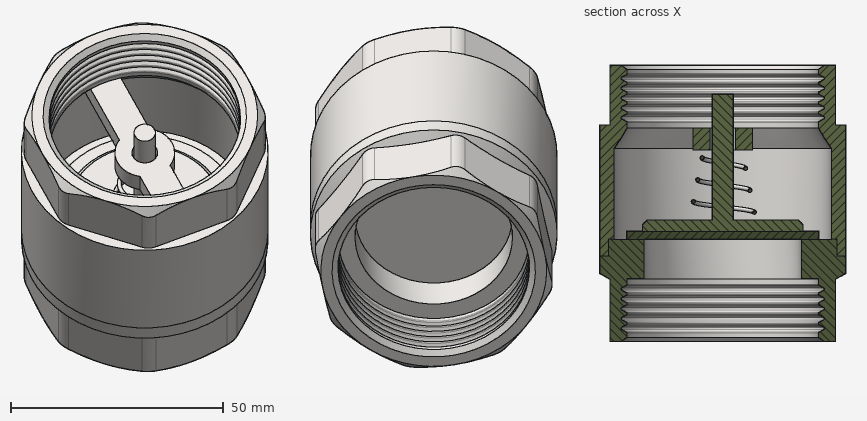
import cadquery as cq
import math


LENGTH = 65.0
BARREL_DIAMETER = 58.0

FLAT_COUNT = 8
ACROSS_FLATS = 53.05
CORNER_RADIUS = 4.35
SHOULDER_Z = 50.95
CAP_FLANGE_Z = 16.05
FLANGE_CONE_ANGLE = 30.0

THREAD_MAJOR = 47.8
THREAD_MINOR = 45.0
THREAD_FLANK_ANGLE = 27.5
THREAD_ROUND_RADIUS = 0.32
RIM_CHAMFER_DEPTH = 1.05
GROOVE_COUNT = 5
GROOVED_LENGTH = 11.6
FIRST_GROOVE_DEPTH = 3.1
PORT_DEPTH = 14.75

CHAMBER_DIAMETER = 51.1
CHAMBER_ROOF_Z = 45.4
JOINT_Z = 20.1
PLUG_DIAMETER = 53.75
SEAT_Z = 24.05
SEAT_BORE = 37.0

BAR_WIDTH = 7.8
BAR_THICKNESS = 5.2
HUB_DIAMETER = 14.05
GUIDE_HOLE = 6.0

GASKET_DIAMETER = 45.2
GASKET_THICKNESS = 1.95
PLATE_DIAMETER = 37.8
PLATE_CHAMFER = 1.1
PLATE_THICKNESS = 2.6
STEM_DIAMETER = 5.0
STEM_TOP_Z = 58.2

WIRE_DIAMETER = 1.0
SPRING_OUTER_DIAMETER = 16.4
SPRING_TURNS = 3
SPRING_GROWTH = 1.05

THREAD_PITCH = GROOVED_LENGTH / GROOVE_COUNT
PORT_END_Z = LENGTH - PORT_DEPTH
BAR_BOTTOM_Z = PORT_END_Z - BAR_THICKNESS
PLATE_Z = SEAT_Z + GASKET_THICKNESS
PLATE_TOP_Z = PLATE_Z + PLATE_THICKNESS


def cylinder(diameter, bottom, top):
    return cq.Workplane("XY", origin=(0, 0, bottom)).circle(diameter / 2).extrude(top - bottom)


def frustum(bottom_diameter, top_diameter, bottom, top):
    """Solid cone section on the valve axis."""
    outline = [(0, bottom), (bottom_diameter / 2, bottom), (top_diameter / 2, top), (0, top)]
    return cq.Workplane("XZ").polyline(outline).close().revolve(360, (0, 0), (0, 1))


def flipped(shape):
    """Turn a shape made for the top port over, to the bottom port."""
    return shape.mirror("XY").translate((0, 0, LENGTH))


def octagon_end(bottom):
    """Wrench octagon from a given height up to the top face, its corners rounded and bevelled."""
    height = LENGTH - bottom
    half_flat = ACROSS_FLATS / 2 * math.tan(math.pi / FLAT_COUNT)
    corner_circle = 2 * math.hypot(ACROSS_FLATS / 2, half_flat)
    octagon = (
        cq.Workplane("XY", origin=(0, 0, bottom))
        .polygon(FLAT_COUNT, corner_circle)
        .extrude(height)
        .rotate((0, 0, 0), (0, 0, 1), 180 / FLAT_COUNT)
        .edges("|Z")
        .fillet(CORNER_RADIUS)
    )
    return octagon.intersect(frustum(ACROSS_FLATS + 2 * height, ACROSS_FLATS, bottom, LENGTH))


def thread_groove(root_z):
    """Ring cutter for one thread groove: straight flanks, a rounded root and rounded lips."""
    minor_radius = THREAD_MINOR / 2
    major_radius = THREAD_MAJOR / 2
    flank_angle = math.radians(THREAD_FLANK_ANGLE)
    reach = THREAD_ROUND_RADIUS * math.cos(flank_angle)
    sag = THREAD_ROUND_RADIUS * (1 - math.sin(flank_angle))
    flank_height = (major_radius - minor_radius - 2 * sag) * math.tan(flank_angle)
    half_mouth = 2 * reach + flank_height
    half_turn = (math.pi / 2 - flank_angle) / 2

    def lip_middle(side):
        axial = THREAD_ROUND_RADIUS * math.sin(half_turn)
        radial = THREAD_ROUND_RADIUS * (1 - math.cos(half_turn))
        return (minor_radius + radial, root_z + side * (half_mouth - axial))

    return (
        cq.Workplane("XZ")
        .moveTo(0, root_z + half_mouth)
        .lineTo(minor_radius, root_z + half_mouth)
        .threePointArc(lip_middle(1), (minor_radius + sag, root_z + reach + flank_height))
        .lineTo(major_radius - sag, root_z + reach)
        .threePointArc((major_radius, root_z), (major_radius - sag, root_z - reach))
        .lineTo(minor_radius + sag, root_z - reach - flank_height)
        .threePointArc(lip_middle(-1), (minor_radius, root_z - half_mouth))
        .lineTo(0, root_z - half_mouth)
        .close()
        .revolve(360, (0, 0), (0, 1))
    )


def threaded_port():
    """Cutter for the top port: the bore, a rim chamfer and ring-shaped thread grooves."""
    port = cylinder(THREAD_MINOR, PORT_END_Z, LENGTH)
    rim = frustum(THREAD_MINOR, THREAD_MAJOR, LENGTH - RIM_CHAMFER_DEPTH, LENGTH)
    port = port.union(rim)
    for index in range(GROOVE_COUNT):
        port = port.union(thread_groove(LENGTH - FIRST_GROOVE_DEPTH - index * THREAD_PITCH))
    return port


def chamber():
    """Cutter for the housing interior below the port, open at the joint."""
    bore = cylinder(CHAMBER_DIAMETER, JOINT_Z, CHAMBER_ROOF_Z)
    roof = frustum(CHAMBER_DIAMETER, THREAD_MINOR, CHAMBER_ROOF_Z, PORT_END_Z)
    plug_socket = cylinder(PLUG_DIAMETER, JOINT_Z, SEAT_Z)
    return bore.union(roof).union(plug_socket)


def guide_bar():
    """Bar spanning the chamber, with a round hub bored for the poppet stem."""
    bar_length = (CHAMBER_DIAMETER + BARREL_DIAMETER) / 2
    bar = cq.Workplane("XY", origin=(0, 0, BAR_BOTTOM_Z)).rect(bar_length, BAR_WIDTH).extrude(BAR_THICKNESS)
    hub = cylinder(HUB_DIAMETER, BAR_BOTTOM_Z, PORT_END_Z)
    return bar.union(hub).cut(cylinder(GUIDE_HOLE, BAR_BOTTOM_Z, PORT_END_Z))


def make_housing():
    barrel = cylinder(BARREL_DIAMETER, JOINT_Z, SHOULDER_Z)
    shell = barrel.union(octagon_end(SHOULDER_Z)).cut(chamber()).cut(threaded_port())
    return shell.union(guide_bar())


def make_cap():
    cone_height = (BARREL_DIAMETER - SEAT_BORE) / 2 * math.tan(math.radians(FLANGE_CONE_ANGLE))
    flange = cylinder(BARREL_DIAMETER, CAP_FLANGE_Z, JOINT_Z)
    underside = frustum(SEAT_BORE, BARREL_DIAMETER, CAP_FLANGE_Z - cone_height, CAP_FLANGE_Z)
    plug = cylinder(PLUG_DIAMETER, JOINT_Z, SEAT_Z)
    wrench_end = flipped(octagon_end(LENGTH - CAP_FLANGE_Z))
    solid = flange.union(plug).union(wrench_end).union(underside)
    return solid.cut(flipped(threaded_port())).cut(cylinder(SEAT_BORE, 0, SEAT_Z))


def make_gasket():
    return cylinder(GASKET_DIAMETER, SEAT_Z, PLATE_Z)


def make_poppet():
    plate = cylinder(PLATE_DIAMETER, PLATE_Z, PLATE_TOP_Z).faces(">Z").chamfer(PLATE_CHAMFER)
    return plate.union(cylinder(STEM_DIAMETER, PLATE_Z, STEM_TOP_Z))


def make_spring():
    """Round wire wound downward from the hub to the plate, its radius growing evenly."""
    wire_radius = WIRE_DIAMETER / 2
    radius_gain = SPRING_GROWTH * SPRING_TURNS
    start_radius = SPRING_OUTER_DIAMETER / 2 - wire_radius - radius_gain
    start_z = BAR_BOTTOM_Z - wire_radius
    height = BAR_BOTTOM_Z - PLATE_TOP_Z - WIRE_DIAMETER
    slant_height = math.hypot(height, radius_gain)
    cone_angle = math.degrees(math.atan(radius_gain / height))
    helix = cq.Wire.makeHelix(
        slant_height / SPRING_TURNS,
        slant_height,
        start_radius,
        center=cq.Vector(0, 0, start_z),
        dir=cq.Vector(0, 0, -1),
        angle=cone_angle,
    )
    start = helix.startPoint()
    wire_section = cq.Workplane(cq.Plane(start, normal=helix.tangentAt(0))).circle(wire_radius)
    spring = wire_section.sweep(cq.Workplane(helix), isFrenet=True)
    return spring.rotate((0, 0, 0), (0, 0, 1), 180)


housing = make_housing()
cap = make_cap()
gasket = make_gasket()
poppet = make_poppet()
spring = make_spring()

bodies = [housing, cap, gasket, poppet, spring]

result = cq.Compound.makeCompound([body.solids().val() for body in bodies])